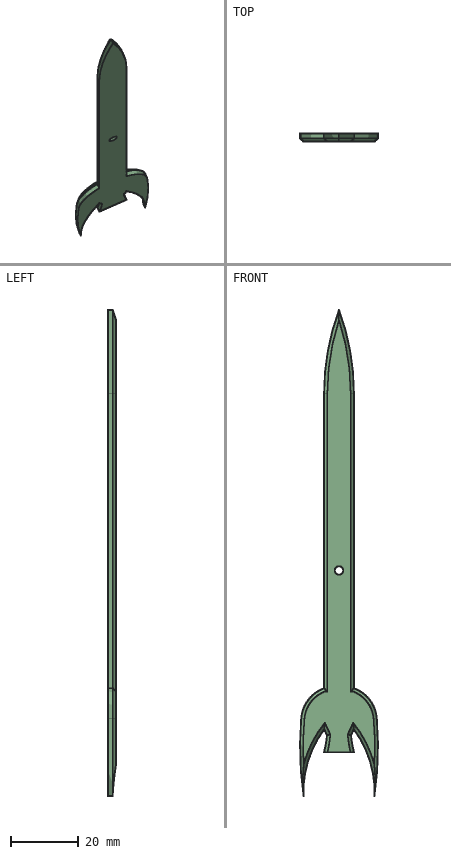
import cadquery as cq

total_height = 145.0
thickness = 2.5
bevel_size = 1.0

body_half_width = 4.5
nose_length = 25.0
nozzle_bottom = 13.0
hole_diameter = 2.5
hole_height = 67.3

fin_top = 32.2
fin_span = 23.3
fin_half_span = fin_span / 2
fin_widest_height = 14.5
fin_shoulder = (11.3, 23.2)
fin_tip_x = 10.6

fin_inner_top = (2.2, 22.6)
fin_inner_mid = (8.3, 13.0)

throat_low = (2.3, 15.4)
throat_high = (6.2, 23.8)

nozzle_flare_mid = (3.8, 16.8)
nozzle_side_top = (3.5, 21.8)

blank_margin = 5.8
blank_half_width = fin_half_span + blank_margin


def plate(outline):
    """Close an XZ outline and extrude it from the bevelled face at Y = 0 to the back."""
    return outline.close().extrude(-thickness)


def bevel(solid, edges):
    """Bevel the chosen edges of the face at Y = 0."""
    front_face = solid.faces("<Y").val()
    return solid.newObject([
        solid.val().chamfer(bevel_size, None, edges(front_face))
    ])


def profile():
    return cq.Workplane("XZ")


def nose_arc_mid(side):
    """Point halfway along the arc tangent to the body side and ending at the nose tip."""
    radius = (nose_length**2 + body_half_width**2) / (2 * body_half_width)
    half_rise = nose_length / 2
    inset = radius - (radius**2 - half_rise**2) ** 0.5
    return side * (body_half_width - inset), total_height - half_rise


def make_body():
    shoulder = total_height - nose_length
    outline = (
        profile()
        .moveTo(-body_half_width, nozzle_bottom)
        .lineTo(body_half_width, nozzle_bottom)
        .lineTo(body_half_width, shoulder)
        .threePointArc(nose_arc_mid(1), (0, total_height))
        .threePointArc(nose_arc_mid(-1), (-body_half_width, shoulder))
    )

    def side_edges(face):
        return [e for e in face.Edges() if e.Center().z > nozzle_bottom + bevel_size]

    return bevel(plate(outline), side_edges)


def make_fin_blank():
    """Outer outline of both fins, without the notches beside the nozzle."""
    outline = (
        profile()
        .moveTo(fin_tip_x, 0)
        .threePointArc((fin_half_span, fin_widest_height), fin_shoulder)
        .tangentArcPoint((body_half_width, fin_top), relative=False)
        .lineTo(0, fin_top)
        .lineTo(0, 0)
    )

    def outer_edges(face):
        return [e for e in face.Edges() if e.Center().x > bevel_size and e.Center().z > 0]

    half = bevel(plate(outline), outer_edges)
    return half.union(half.mirror("YZ"))


def bevelled_piece(outline):
    """Plate bevelled along its one edge that is parallel to neither X nor Z."""
    def oblique_edges(face):
        return [
            e for e in face.Edges()
            if min(e.BoundingBox().xlen, e.BoundingBox().zlen) > bevel_size / 2
        ]

    return bevel(plate(outline), oblique_edges)


def make_notched_blank():
    """Large plate whose underside carries the bevelled notches and the nozzle.

    Each side of a notch bounds its own piece, so that the bevels meet in mitres.
    """
    blank_top = total_height + blank_margin
    above_fin_curve = (
        profile()
        .moveTo(fin_tip_x, 0)
        .threePointArc(fin_inner_mid, fin_inner_top)
        .lineTo(0, fin_inner_top[1])
        .lineTo(0, blank_top)
        .lineTo(blank_half_width, blank_top)
        .lineTo(blank_half_width, 0)
    )
    above_throat = (
        profile()
        .moveTo(*throat_low)
        .lineTo(*throat_high)
        .lineTo(0, throat_high[1])
        .lineTo(0, throat_low[1])
    )
    nozzle = (
        profile()
        .moveTo(body_half_width, nozzle_bottom)
        .threePointArc(nozzle_flare_mid, nozzle_side_top)
        .lineTo(0, nozzle_side_top[1])
        .lineTo(0, nozzle_bottom)
    )
    half = (
        bevelled_piece(above_fin_curve)
        .union(bevelled_piece(above_throat))
        .union(bevelled_piece(nozzle))
    )
    return half.union(half.mirror("YZ"))


hole = profile().center(0, hole_height).circle(hole_diameter / 2).extrude(-thickness)

notched_rocket = make_body().union(make_fin_blank()).intersect(make_notched_blank())
result = notched_rocket.cut(hole)